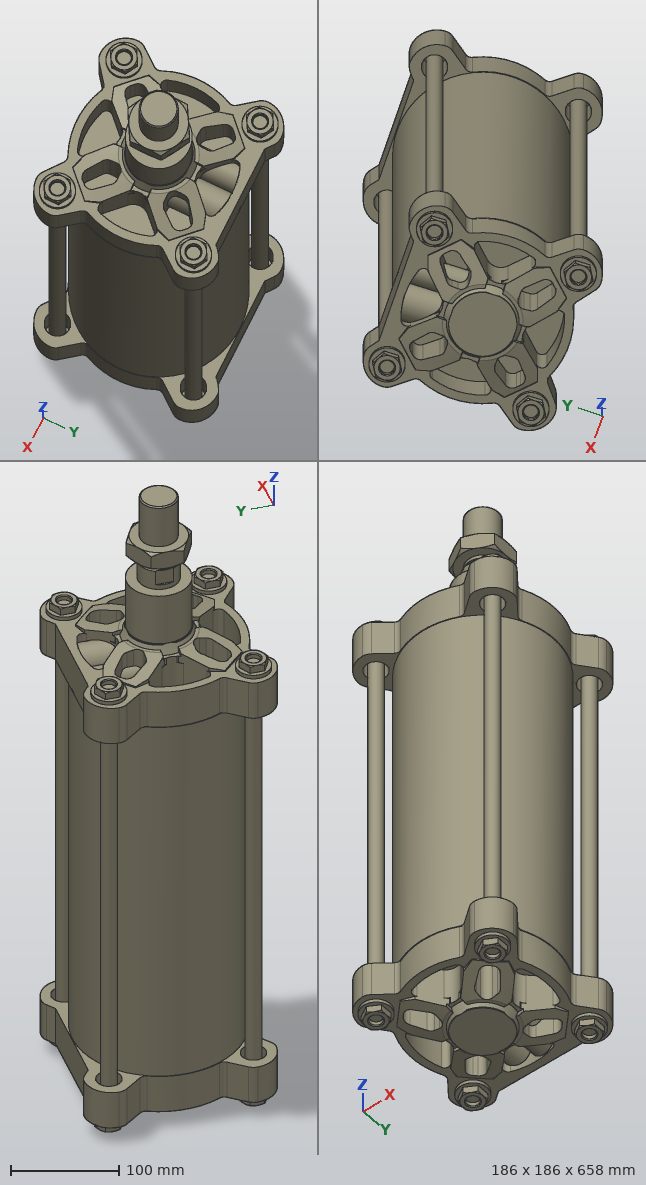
import cadquery as cq
import math

total_height = 658.0
cap_thickness = 40.0
rear_cap_bottom = 17.0
rear_cap_top = rear_cap_bottom + cap_thickness
front_cap_bottom = 455.0
front_cap_top = front_cap_bottom + cap_thickness
mirror_height = (rear_cap_bottom + front_cap_top) / 2

barrel_diameter = 167.0
bore_diameter = 160.0

cap_diameter = 168.5
overall_width = 186.0
lug_radius = 26.0
lug_center = overall_width / 2 - lug_radius
lug_end_half_width = 22.0
lug_axis_half_width = 35.5
lug_corner_fillet = 13.0
port_face_y = cap_diameter / 2
port_face_half_width = 52.5
neck_fillet = 6.5
neck_reach = 79.5

pocket_depth = 36.0
pocket_radius = 75.5
pocket_apex = 33.5
pocket_tip_fillet = 14.5
pocket_corner_fillet = 6.0
rib_end = 78.0
rib_shoulder = 65.0
rib_end_half_width = 17.0
rib_half_width = pocket_apex / math.sqrt(2)
rib_slot_apex = 34.0
rib_slot_shoulder = 47.0
rib_slot_end = 74.0
rib_slot_shoulder_half_width = 12.5
rib_slot_end_half_width = 9.0
rib_slot_end_fillet = 8.0
rib_slot_inner_fillet = 8.0

hub_radius = 37.5
hub_base_diameter = 81.5
hub_height = 12.0
cone_outer_radius = 85.5
collar_diameter = 63.0
collar_height = rear_cap_bottom
hub_slot_width = 17.0
hub_slot_floor = 7.0
flare_radius = 36.0
flare_height = 17.0

port_boss_x = 14.0
port_boss_diameter = 36.0
cushion_boss_x = -19.0
cushion_boss_diameter = 27.5

tie_rod_spacing = 140.0
tie_rod_diameter = 16.0
tie_rod_hole_diameter = 24.5
washer_diameter = 33.5
washer_height = 4.0
tie_nut_width = 24.5
tie_nut_height = 8.0
tie_nut_socket_diameter = 14.0
tie_nut_socket_depth = 5.0
tie_nut_mouth_chamfer = 1.0

sleeve_diameter = 62.0
sleeve_top = 566.0
rod_diameter = 40.0
rod_shoulder = 589.0
shoulder_chamfer = 2.5
undercut_diameter = 33.0
undercut_height = 2.0
thread_diameter = 36.0
thread_chamfer = 1.0
flat_width = 36.0
flat_bottom = 571.0
flat_top = 587.0

lock_nut_width = 55.0
lock_nut_bottom = 595.0
lock_nut_height = 18.5

corner_angles = [45, 135, 225, 315]
side_angles = [0, 90, 180, 270]
hex_half_angle = 30
hex_chamfer_angle = 30
hex_corner_ratio = 1 / math.cos(math.radians(hex_half_angle))


def cylinder(diameter, bottom, top):
    return cq.Workplane("XY").workplane(offset=bottom).circle(diameter / 2).extrude(top - bottom)


def hexagon_prism(width, bottom, height, chamfer_bottom):
    """Hexagon with flats facing +-X and corners turned down by a 30 degree cone."""
    corner_diameter = width * hex_corner_ratio
    prism = (
        cq.Workplane("XY")
        .workplane(offset=bottom)
        .polygon(6, corner_diameter)
        .extrude(height)
        .rotate((0, 0, 0), (0, 0, 1), hex_half_angle)
    )
    inner = width / 2
    outer = corner_diameter / 2
    drop = (outer - inner) * math.tan(math.radians(hex_chamfer_angle))
    top = bottom + height
    envelope = cq.Workplane("XZ").moveTo(0, bottom)
    if chamfer_bottom:
        envelope = envelope.lineTo(inner, bottom).lineTo(outer, bottom + drop)
    else:
        envelope = envelope.lineTo(outer, bottom)
    envelope = envelope.lineTo(outer, top - drop).lineTo(inner, top).lineTo(0, top).close()
    return prism.intersect(envelope.revolve(360, (0, 0, 0), (0, 1, 0)))


def cap_lug():
    """Lug along +X: an arm narrowing from the cap axis to a rounded end."""
    center = lug_center * math.sqrt(2)
    corner = center + math.sqrt(lug_radius**2 - lug_end_half_width**2)
    lug = (
        cq.Workplane("XY")
        .workplane(offset=front_cap_bottom)
        .moveTo(0, -lug_axis_half_width)
        .lineTo(corner, -lug_end_half_width)
        .threePointArc((center + lug_radius, 0), (corner, lug_end_half_width))
        .lineTo(0, lug_axis_half_width)
        .close()
        .extrude(cap_thickness)
    )
    return lug.edges("|Z").edges(">X").fillet(lug_corner_fillet)


def cap_plate():
    plate = cylinder(cap_diameter, front_cap_bottom, front_cap_top)
    for angle in corner_angles:
        plate = plate.union(cap_lug().rotate((0, 0, 0), (0, 0, 1), angle))
    neck_zone = cq.selectors.BoxSelector(
        (-neck_reach, -neck_reach, front_cap_bottom), (neck_reach, neck_reach, front_cap_top)
    )
    plate = plate.edges("|Z").edges(neck_zone).fillet(neck_fillet)
    port_face = (
        cq.Workplane("XY")
        .box(2 * port_face_half_width, port_face_y, cap_thickness, centered=(True, False, False))
        .translate((0, 0, front_cap_bottom))
    )
    return plate.union(port_face)


def raised_spider():
    """Hub and four ribs whose tops fall away on a cone, with the slotted collar on the hub."""
    hub_top = front_cap_top + hub_height
    cone = (
        cq.Workplane("XZ")
        .moveTo(0, front_cap_bottom)
        .lineTo(cone_outer_radius, front_cap_bottom)
        .lineTo(cone_outer_radius, front_cap_top)
        .lineTo(hub_radius, hub_top)
        .lineTo(0, hub_top)
        .close()
        .revolve(360, (0, 0, 0), (0, 1, 0))
    )
    plan = cylinder(hub_base_diameter, front_cap_bottom, hub_top)
    rib = (
        cq.Workplane("XY")
        .workplane(offset=front_cap_bottom)
        .polyline([
            (0, -rib_half_width),
            (rib_shoulder, -rib_half_width),
            (rib_end, -rib_end_half_width),
            (rib_end, rib_end_half_width),
            (rib_shoulder, rib_half_width),
            (0, rib_half_width),
        ])
        .close()
        .extrude(hub_top - front_cap_bottom)
    )
    for angle in corner_angles:
        plan = plan.union(rib.rotate((0, 0, 0), (0, 0, 1), angle))
    spider = plan.intersect(cone)
    spider = spider.union(cylinder(collar_diameter, hub_top, front_cap_top + collar_height))
    for angle in side_angles:
        slot = (
            cq.Workplane("XY")
            .box(hub_radius, hub_slot_width, collar_height, centered=(False, True, False))
            .translate((sleeve_diameter / 2, 0, front_cap_top + hub_slot_floor))
        )
        spider = spider.cut(slot.rotate((0, 0, 0), (0, 0, 1), angle))
    flare = (
        cq.Workplane("XZ")
        .moveTo(0, front_cap_bottom)
        .lineTo(flare_radius, front_cap_bottom)
        .lineTo(flare_radius, front_cap_top + hub_slot_floor)
        .lineTo(sleeve_diameter / 2, front_cap_top + flare_height)
        .lineTo(0, front_cap_top + flare_height)
        .close()
        .revolve(360, (0, 0, 0), (0, 1, 0))
    )
    return spider.union(flare)


def fan_pocket():
    """Pocket toward +X between two ribs."""
    floor = front_cap_top - pocket_depth
    depth = pocket_depth + hub_height
    wedge = (
        cq.Workplane("XY")
        .workplane(offset=floor)
        .polyline([
            (pocket_apex, 0),
            (pocket_apex + pocket_radius, -pocket_radius),
            (pocket_apex + pocket_radius, pocket_radius),
        ])
        .close()
        .extrude(depth)
    )
    pocket = wedge.intersect(cylinder(2 * pocket_radius, floor, floor + depth))
    pocket = pocket.edges("|Z and <X").fillet(pocket_tip_fillet)
    return pocket.edges("|Z and (>Y or <Y)").fillet(pocket_corner_fillet)


def rib_slot():
    """Pocket along a rib toward +X, pointed at the hub and rounded at the outer end."""
    slot = (
        cq.Workplane("XY")
        .workplane(offset=front_cap_top - pocket_depth)
        .polyline([
            (rib_slot_apex, 0),
            (rib_slot_shoulder, -rib_slot_shoulder_half_width),
            (rib_slot_end, -rib_slot_end_half_width),
            (rib_slot_end, rib_slot_end_half_width),
            (rib_slot_shoulder, rib_slot_shoulder_half_width),
        ])
        .close()
        .extrude(pocket_depth + hub_height)
    )
    slot = slot.edges("|Z and >X").fillet(rib_slot_end_fillet)
    return slot.edges("|Z and (<X or <Y or >Y)").fillet(rib_slot_inner_fillet)


def port_boss(x, diameter):
    return (
        cq.Workplane("XZ")
        .center(x, front_cap_bottom + cap_thickness / 2)
        .circle(diameter / 2)
        .extrude(-port_face_y)
    )


def tie_fastener():
    """Washer and socketed nut standing on the outer face of the front cap."""
    washer_top = front_cap_top + washer_height
    nut_top = washer_top + tie_nut_height
    socket = (
        cq.Workplane("XY")
        .workplane(offset=nut_top)
        .circle(tie_nut_socket_diameter / 2)
        .extrude(-tie_nut_socket_depth)
    )
    mouth = (
        cq.Workplane("XY")
        .workplane(offset=nut_top)
        .circle(tie_nut_socket_diameter / 2 + tie_nut_mouth_chamfer)
        .extrude(-tie_nut_mouth_chamfer, taper=45)
    )
    nut = hexagon_prism(tie_nut_width, washer_top, tie_nut_height, False).cut(socket).cut(mouth)
    return cylinder(washer_diameter, front_cap_top, washer_top).union(nut)


def tie_points():
    return cq.Workplane("XY").rect(tie_rod_spacing, tie_rod_spacing, forConstruction=True).vertices().vals()


def end_cap():
    """Front end cap, with its outer face up."""
    cap = cap_plate().union(raised_spider())
    for angle in side_angles:
        cap = cap.cut(fan_pocket().rotate((0, 0, 0), (0, 0, 1), angle))
    for angle in corner_angles:
        cap = cap.cut(rib_slot().rotate((0, 0, 0), (0, 0, 1), angle))
    cap = cap.union(port_boss(port_boss_x, port_boss_diameter))
    cap = cap.union(port_boss(cushion_boss_x, cushion_boss_diameter))
    for point in tie_points():
        place = (point.X, point.Y, 0)
        cap = cap.cut(cylinder(tie_rod_hole_diameter, front_cap_bottom, front_cap_top).translate(place))
        cap = cap.union(tie_fastener().translate(place))
    return cap


def make_housing():
    front_cap = end_cap()
    rear_cap = front_cap.mirror("XY", (0, 0, mirror_height))
    barrel = cylinder(barrel_diameter, rear_cap_top, front_cap_bottom)
    barrel = barrel.cut(cylinder(bore_diameter, rear_cap_top, front_cap_bottom))
    housing = front_cap.union(barrel).union(rear_cap)
    for point in tie_points():
        tie_rod = cylinder(tie_rod_diameter, rear_cap_bottom, front_cap_top)
        housing = housing.union(tie_rod.translate((point.X, point.Y, 0)))
    housing = housing.union(cylinder(sleeve_diameter, front_cap_top, sleeve_top))
    return housing.cut(cylinder(rod_diameter, front_cap_bottom, sleeve_top))


def make_piston_rod():
    shank = cylinder(rod_diameter, front_cap_bottom, rod_shoulder).faces(">Z").chamfer(shoulder_chamfer)
    flats = (
        cq.Workplane("XY")
        .box(flat_width, rod_diameter, flat_top - flat_bottom, centered=(True, True, False))
        .translate((0, 0, flat_bottom))
    )
    shank = shank.cut(cylinder(2 * rod_diameter, flat_bottom, flat_top).cut(flats))
    thread_bottom = rod_shoulder + undercut_height
    undercut = cylinder(undercut_diameter, rod_shoulder, thread_bottom)
    thread = cylinder(thread_diameter, thread_bottom, total_height).faces(">Z").chamfer(thread_chamfer)
    return shank.union(undercut).union(thread)


def make_lock_nut():
    nut = hexagon_prism(lock_nut_width, lock_nut_bottom, lock_nut_height, True)
    return nut.cut(cylinder(thread_diameter, lock_nut_bottom, lock_nut_bottom + lock_nut_height))


housing = make_housing()
piston_rod = make_piston_rod()
lock_nut = make_lock_nut()
result = cq.Compound.makeCompound([housing.val(), piston_rod.val(), lock_nut.val()])